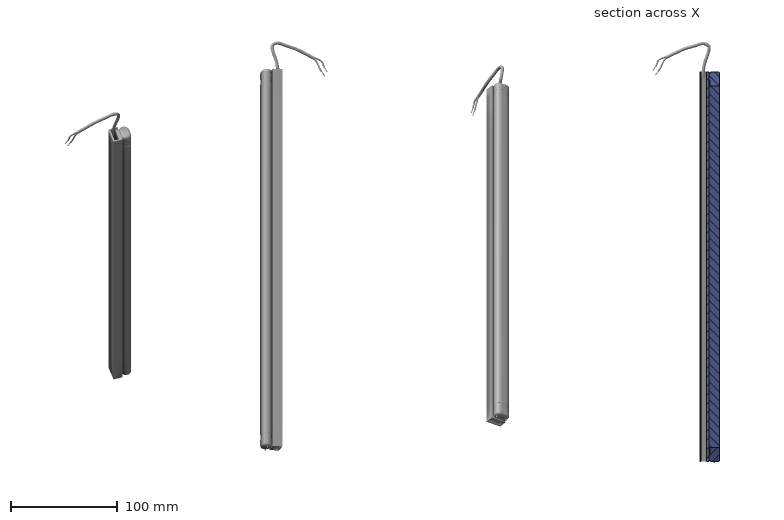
import cadquery as cq

bar_width = 15.5

pin_length = 1.0
housing_bottom = pin_length
housing_length = 364.7
housing_depth = 9.0
side_wall = 1.0
front_wall = 1.5
back_wall = 3.0
inner_corner_radius = 0.8

seat_corner_radius = 4.7
crown_corner_radius = 5.0
cap_body_length = 8.3
cap_collar_length = 4.7
cap_edge_radius = 2.5
collar_inset = 0.2
pin_diameter = 1.2
pin_spacing = 10.5

flank_hole_diameter = 2.0
flank_hole_y = 1.5
flank_hole_below_top = 3.5
flank_hole_reach = 3.5

cable_x = -4.15
cable_diameter = 3.0
wire_diameter = 1.5
conductor_diameter = 0.95

cable_points = [(-6.0, 360.0), (-5.5, 366.0), (-3.5, 375.7), (-0.5, 385.0), (-0.5, 389.5),
                (-4.7, 392.0), (-12.0, 390.3), (-21.5, 387.5), (-30.0, 384.0), (-40.5, 379.0)]
upper_wire_bends = [(-44.5, 378.0), (-47.2, 376.5), (-48.8, 373.5), (-50.0, 370.5)]
upper_conductor_tip = (-52.7, 366.5)
lower_wire_bends = [(-42.5, 375.7), (-44.0, 372.5), (-45.2, 370.0), (-47.2, 366.5)]
lower_conductor_tip = (-50.5, 362.5)

cap_length = cap_body_length + cap_collar_length
flank_y = seat_corner_radius


def make_housing():
    channel_depth = housing_depth - back_wall - front_wall
    channel_middle_y = -back_wall - channel_depth / 2
    block = (
        cq.Workplane("XY", origin=(0, -housing_depth / 2, housing_bottom))
        .rect(bar_width, housing_depth)
        .extrude(housing_length)
    )
    channel = (
        cq.Workplane("XY", origin=(0, channel_middle_y, housing_bottom))
        .rect(bar_width - 2 * side_wall, channel_depth)
        .extrude(housing_length)
        .edges("|Z")
        .fillet(inner_corner_radius)
    )
    return block.cut(channel)


def rounded_bar(start_z, length, inset=0.0):
    """
    A bar along Z with round flanks, its outline moved inward by the inset.
    Each flank is a quarter circle up from the housing and a slightly larger one on to the crown.
    """
    side = bar_width / 2 - inset
    seat_radius = seat_corner_radius - inset
    crown_radius = crown_corner_radius - inset
    seat_half = side - seat_radius
    crown_half = side - crown_radius
    return (
        cq.Workplane("XY", origin=(0, flank_y, start_z))
        .moveTo(-crown_half, crown_radius)
        .lineTo(crown_half, crown_radius)
        .radiusArc((side, 0), crown_radius)
        .radiusArc((seat_half, -seat_radius), seat_radius)
        .lineTo(-seat_half, -seat_radius)
        .radiusArc((-side, 0), seat_radius)
        .radiusArc((-crown_half, crown_radius), crown_radius)
        .close()
        .extrude(length)
    )


def make_tube():
    return rounded_bar(housing_bottom + cap_length, housing_length - 2 * cap_length)


def make_bottom_cap():
    """A rounded end cap with a slightly narrower collar."""
    body = rounded_bar(housing_bottom, cap_body_length).faces("<Z").edges().fillet(cap_edge_radius)
    collar = rounded_bar(housing_bottom + cap_body_length, cap_collar_length, collar_inset)
    return body.union(collar)


def make_contact_pins():
    return (
        cq.Workplane("XY", origin=(0, flank_y, 0))
        .rarray(pin_spacing, 4, 2, 1)
        .circle(pin_diameter / 2)
        .extrude(pin_length + cap_body_length)
    )


def make_flank_hole():
    hole_z = housing_bottom + housing_length - flank_hole_below_top
    return (
        cq.Workplane("YZ", origin=(-bar_width / 2, flank_hole_y, hole_z))
        .circle(flank_hole_diameter / 2)
        .extrude(flank_hole_reach)
    )


def centre_line(points, tangents=None):
    """A smooth curve through (Y, Z) points in the cable's plane."""
    vectors = [cq.Vector(cable_x, y, z) for y, z in points]
    return cq.Edge.makeSpline(vectors, tangents=tangents)


def swept_rod(path, diameter):
    section = cq.Plane(origin=path.startPoint(), xDir=(1, 0, 0), normal=path.tangentAt(0))
    return cq.Workplane(section).circle(diameter / 2).sweep(cq.Workplane(path))


def path_direction(start, end):
    """The unit direction from one (Y, Z) point to another."""
    return cq.Vector(0, end[0] - start[0], end[1] - start[1]).normalized()


def make_wire(start, start_direction, bends, tip):
    """An insulated wire that leaves the cable along its direction and ends in a bare conductor."""
    path = centre_line([start] + bends, [start_direction, path_direction(bends[-1], tip)])
    bend_end = path.endPoint()
    conductor_run = cq.Vector(cable_x, *tip) - bend_end
    conductor = cq.Solid.makeCylinder(
        conductor_diameter / 2, conductor_run.Length, bend_end, conductor_run
    )
    return swept_rod(path, wire_diameter).union(cq.Workplane(conductor))


housing = make_housing()
tube = make_tube()
bottom_cap = make_bottom_cap()
top_cap = bottom_cap.mirror("XY", (0, 0, housing_bottom + housing_length / 2)).cut(make_flank_hole())
bottom_cap = bottom_cap.union(make_contact_pins())

cable_path = centre_line(cable_points)
cable = swept_rod(cable_path, cable_diameter)

cable_end_direction = cable_path.tangentAt(1)
cable_end_y, cable_end_z = cable_points[-1]
offset_y = cable_end_direction.z * wire_diameter / 2
offset_z = -cable_end_direction.y * wire_diameter / 2
upper_start = (cable_end_y + offset_y, cable_end_z + offset_z)
lower_start = (cable_end_y - offset_y, cable_end_z - offset_z)
upper_wire = make_wire(upper_start, cable_end_direction, upper_wire_bends, upper_conductor_tip)
lower_wire = make_wire(lower_start, cable_end_direction, lower_wire_bends, lower_conductor_tip)

result = cq.Compound.makeCompound([
    housing.val(), tube.val(), bottom_cap.val(), top_cap.val(),
    cable.val(), upper_wire.val(), lower_wire.val(),
])